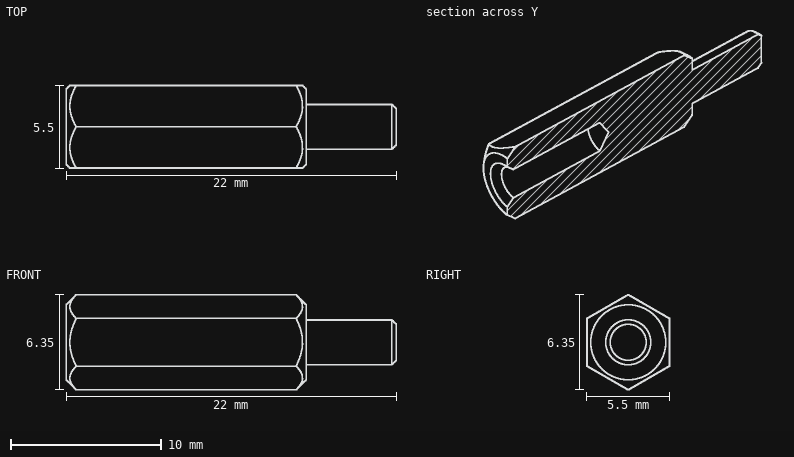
import cadquery as cq
import math

hex_sides = 6
across_flats = 5.5
across_corners = across_flats / math.cos(math.pi / hex_sides)
body_length = 16.0

end_face_diameter = 5.0
corner_trim = (across_corners - end_face_diameter) / 2

stud_diameter = 3.0
stud_length = 6.0
stud_chamfer = 0.3

hole_diameter = 2.46
hole_depth = 8.0
drill_point_angle = 118.0
countersink_diameter = 3.5
countersink_angle = 90.0


def cone_height(large_diameter, small_diameter, included_angle):
    """Axial length of a cone between two diameters."""
    return (large_diameter - small_diameter) / 2 / math.tan(math.radians(included_angle / 2))


def revolve_about_x(profile):
    """Solid of revolution about X from (axial, radial) points."""
    return cq.Workplane("XY").polyline(profile).close().revolve(360, (0, 0, 0), (1, 0, 0))


def make_body():
    """Hexagonal bar with corners at +Z and -Z, trimmed conically at both ends."""
    bar = cq.Workplane("YZ").polygon(hex_sides, across_corners).extrude(body_length)
    bar = bar.rotate((0, 0, 0), (1, 0, 0), 90)
    corner_radius = across_corners / 2
    end_face_radius = end_face_diameter / 2
    envelope = revolve_about_x([
        (0, 0),
        (0, end_face_radius),
        (corner_trim, corner_radius),
        (body_length - corner_trim, corner_radius),
        (body_length, end_face_radius),
        (body_length, 0),
    ])
    return bar.intersect(envelope)


def make_stud():
    """Round stud with a chamfered tip."""
    stud = cq.Workplane("YZ").workplane(offset=body_length).circle(stud_diameter / 2).extrude(stud_length)
    return stud.faces(">X").chamfer(stud_chamfer)


def make_hole():
    """Countersunk blind hole with a conical drill point."""
    hole_radius = hole_diameter / 2
    countersink_depth = cone_height(countersink_diameter, hole_diameter, countersink_angle)
    drill_point_depth = cone_height(hole_diameter, 0, drill_point_angle)
    return revolve_about_x([
        (0, 0),
        (0, countersink_diameter / 2),
        (countersink_depth, hole_radius),
        (hole_depth, hole_radius),
        (hole_depth + drill_point_depth, 0),
    ])


result = make_body().union(make_stud()).cut(make_hole())